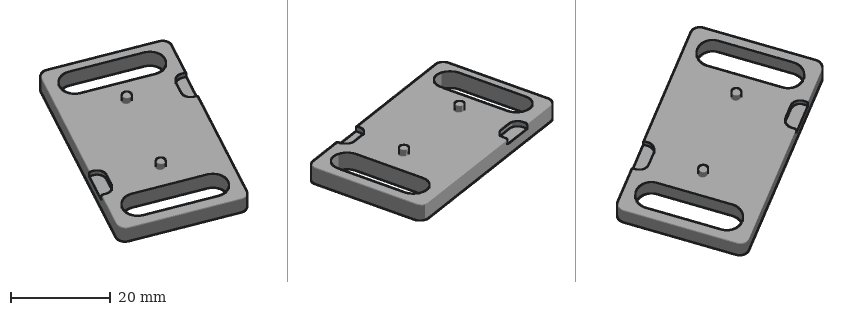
import cadquery as cq

length = 48.0
width = 28.0
thickness = 4.0
corner_radius = 2.0
top_fillet = 0.5

slot_length = 22.5
slot_width = 6.5
slot_offset = 18.5

pin_offset = 10.0
pin_diameter = 2.0
pin_height = 1.75
pin_tip_fillet = 0.2
notch_width = 7.0
notch_reach = 3.0
notch_depth = 1.25
notch_radius = 2.0

pin_foot_fillet = 0.2


def make_plate():
    plate = cq.Workplane("XY").box(length, width, thickness, centered=(True, True, False))
    return plate.edges("|Z").fillet(corner_radius).faces(">Z").edges().fillet(top_fillet)


def make_slots():
    centres = [(-slot_offset, 0), (slot_offset, 0)]
    return cq.Workplane("XY").pushPoints(centres).slot2D(slot_length, slot_width, 90).extrude(thickness)


def make_notch(side):
    """Notch cutter at the +Y edge left of centre (side = 1) or its half-turn copy (side = -1)."""
    return (
        cq.Workplane("XY")
        .box(notch_width, 2 * notch_reach, notch_depth, centered=(True, True, False))
        .edges("|Z")
        .fillet(notch_radius)
        .translate((-side * pin_offset, side * width / 2, thickness - notch_depth))
    )


def make_pin(x):
    """Pin with a rounded tip and a flared foot, standing on the plate at the given X."""
    radius = pin_diameter / 2
    half_profile = (
        cq.Workplane("XZ")
        .lineTo(radius + pin_foot_fillet, 0)
        .radiusArc((radius, pin_foot_fillet), pin_foot_fillet)
        .lineTo(radius, pin_height - pin_tip_fillet)
        .radiusArc((radius - pin_tip_fillet, pin_height), -pin_tip_fillet)
        .lineTo(0, pin_height)
        .close()
    )
    pin = half_profile.revolve(360, (0, 0, 0), (0, 1, 0))
    return pin.translate((x, 0, thickness))


result = make_plate().cut(make_slots())
for side in (-1, 1):
    result = result.cut(make_notch(side)).union(make_pin(side * pin_offset))